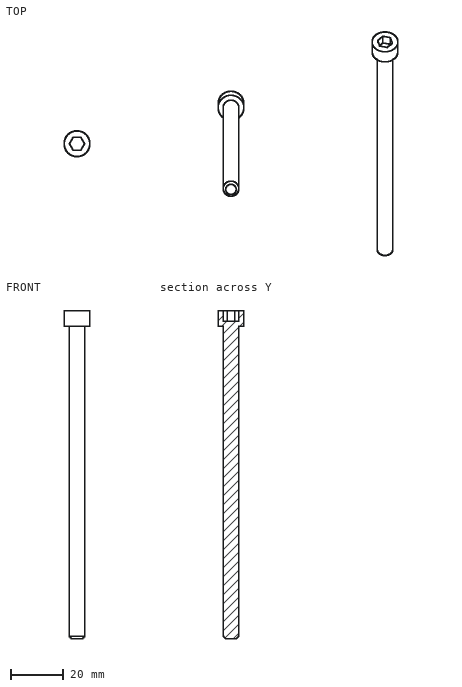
import cadquery as cq
import math

total_length = 126.0
head_diameter = 10.0
shank_diameter = 6.0
head_height = 6.0
socket_across_flats = 5.0
socket_depth = 4.0
tip_chamfer = 1.0

shank_length = total_length - head_height
socket_across_corners = socket_across_flats / math.cos(math.pi / 6)

shank = (
    cq.Workplane("XY")
    .circle(shank_diameter / 2)
    .extrude(shank_length)
    .faces("<Z")
    .chamfer(tip_chamfer)
)

head = (
    cq.Workplane("XY")
    .workplane(offset=shank_length)
    .circle(head_diameter / 2)
    .extrude(head_height)
)

socket = (
    cq.Workplane("XY")
    .workplane(offset=total_length - socket_depth)
    .polygon(6, socket_across_corners)
    .extrude(socket_depth)
)

result = shank.union(head).cut(socket)